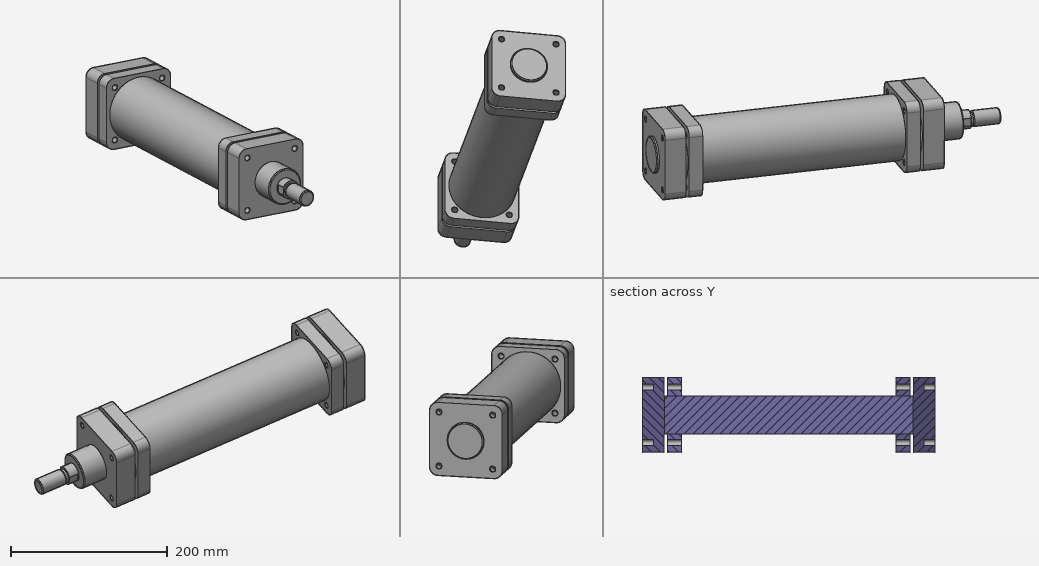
import cadquery as cq
import math

TOTAL_LENGTH = 466.0

PLATE_SIDE = 96.0
CORNER_RADIUS = 11.0
CAP_THICKNESS = 28.0
FLANGE_THICKNESS = 18.0
CAP_TO_FLANGE_GAP = 4.0
HOLE_SPACING = 71.0
HOLE_DIAMETER = 7.0
HOLE_CHAMFER = 0.5
HOLE_CHAMFER_ANGLE = 45
CAP_HOLE_DEPTH = 14.0

BARREL_DIAMETER = 86.0
BARREL_LENGTH = 318.5

SPIGOT_DIAMETER = 48.0
REAR_SPIGOT_LENGTH = 3.5
FRONT_SPIGOT_LENGTH = 34.0
SPIGOT_CHAMFER = 1.5

ROD_DIAMETER = 24.0
ROD_FLATS_WIDTH = 22.0
FLATS_LENGTH = 12.0
FLATS_END_OFFSET = 14.0
UNDERCUT_DIAMETER = 18.5
UNDERCUT_LENGTH = 3.3
THREAD_DIAMETER = 21.0
THREAD_CHAMFER = 1.5

rear_cap_start = REAR_SPIGOT_LENGTH
barrel_start = rear_cap_start + CAP_THICKNESS
barrel_end = barrel_start + BARREL_LENGTH
rear_flange_start = barrel_start + CAP_TO_FLANGE_GAP
rear_flange_end = rear_flange_start + FLANGE_THICKNESS
front_flange_end = barrel_end - CAP_TO_FLANGE_GAP
front_flange_start = front_flange_end - FLANGE_THICKNESS
flange_places = [(rear_flange_start, rear_flange_end), (front_flange_end, front_flange_start)]
front_cap_end = barrel_end + CAP_THICKNESS
front_spigot_end = front_cap_end + FRONT_SPIGOT_LENGTH
flats_end = front_spigot_end + FLATS_END_OFFSET
thread_start = flats_end + UNDERCUT_LENGTH


def cylinder(diameter, start, end):
    """Round bar on the X axis from x = start to x = end."""
    return cq.Workplane("YZ", origin=(start, 0, 0)).circle(diameter / 2).extrude(end - start)


def plate(start, thickness):
    """Square plate with rounded corners, its rear face at x = start."""
    square = cq.Workplane("YZ", origin=(start, 0, 0)).rect(PLATE_SIDE, PLATE_SIDE).extrude(thickness)
    return square.edges("|X").fillet(CORNER_RADIUS)


def corner_holes(mouth, depth):
    """Cutters for the four chamfered corner holes, from x = mouth towards +X, or -X if depth is negative."""
    square = cq.Workplane("YZ", origin=(mouth, 0, 0)).rect(HOLE_SPACING, HOLE_SPACING, forConstruction=True)
    centres = square.vertices()
    shafts = centres.circle(HOLE_DIAMETER / 2).extrude(depth)
    cone_depth = math.copysign(HOLE_CHAMFER, depth)
    cone_mouth = HOLE_DIAMETER / 2 + HOLE_CHAMFER
    cones = centres.circle(cone_mouth).extrude(cone_depth, taper=HOLE_CHAMFER_ANGLE)
    return shafts.union(cones)


def make_rear_cap():
    """Cap with a low spigot and blind holes in its rear face."""
    spigot = cylinder(SPIGOT_DIAMETER, 0, rear_cap_start)
    spigot = spigot.faces("<X").chamfer(SPIGOT_CHAMFER)
    cap = plate(rear_cap_start, CAP_THICKNESS).union(spigot)
    return cap.cut(corner_holes(rear_cap_start, CAP_HOLE_DEPTH))


def make_front_cap():
    """Cap with a long spigot, a bore for the rod and blind holes in its front face."""
    spigot = cylinder(SPIGOT_DIAMETER, front_cap_end, front_spigot_end)
    spigot = spigot.faces(">X").chamfer(SPIGOT_CHAMFER)
    cap = plate(barrel_end, CAP_THICKNESS).union(spigot)
    cap = cap.cut(corner_holes(front_cap_end, -CAP_HOLE_DEPTH))
    return cap.cut(cylinder(ROD_DIAMETER, barrel_end, front_spigot_end))


def make_flange(cap_side, barrel_side):
    """Plate around the barrel between two x places, with through holes chamfered on the barrel side."""
    start = min(cap_side, barrel_side)
    flange = plate(start, FLANGE_THICKNESS)
    flange = flange.cut(corner_holes(barrel_side, cap_side - barrel_side))
    return flange.cut(cylinder(BARREL_DIAMETER, start, start + FLANGE_THICKNESS))


def make_rod():
    """Rod with two wrench flats facing -Y and +Y, an undercut and a threaded tip."""
    shank = cylinder(ROD_DIAMETER, barrel_end, flats_end)
    flats_envelope = (
        cq.Workplane("YZ", origin=(flats_end - FLATS_LENGTH, 0, 0))
        .rect(ROD_FLATS_WIDTH, ROD_DIAMETER)
        .extrude(FLATS_LENGTH)
    )
    flatted_end = cylinder(ROD_DIAMETER, flats_end - FLATS_LENGTH, flats_end)
    shank = shank.cut(flatted_end.cut(flats_envelope))
    undercut = cylinder(UNDERCUT_DIAMETER, flats_end, thread_start)
    thread = cylinder(THREAD_DIAMETER, thread_start, TOTAL_LENGTH)
    thread = thread.faces("<X or >X").chamfer(THREAD_CHAMFER)
    return shank.union(undercut).union(thread)


barrel = cylinder(BARREL_DIAMETER, barrel_start, barrel_end)
rear_cap = make_rear_cap()
front_cap = make_front_cap()
flanges = [make_flange(cap_side, barrel_side) for cap_side, barrel_side in flange_places]
rod = make_rod()

result = cq.Compound.makeCompound(
    [barrel.val(), rear_cap.val(), front_cap.val(), *[flange.val() for flange in flanges], rod.val()]
)